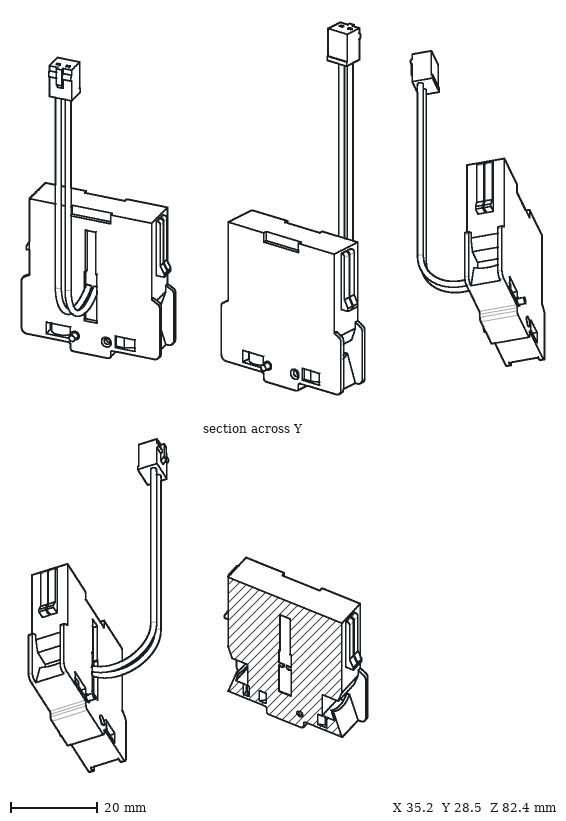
import cadquery as cq
import math

total_height = 82.4

body_half_width = 15.6
body_depth = 9.1
body_top = 37.4
half_depth = body_depth / 2

flange_width = 35.2
flange_half_width = flange_width / 2
flange_bottom = 2.15
flange_thickness = 1.0
shoulder_top = 17.55
shoulder_angle = 30
shoulder_fillet = 1.1
flange_fillet = 1.4

tab_half_width = 5.1
tab_fillet = 0.75
tab_root_fillet = 0.5
notch_height = 2.3

recess_lip_top = 16.0
recess_lip_bottom = 12.8
recess_lip_setback = 1.1
recess_depth = 5.35
ramp_top = 9.7
ramp_setback = 2.55
ramp_thickness = 0.75
trench_bottom = 6.5
scoop_radius = 7.3
scoop_bottom = 8.15

clip_reach = 1.0
clip_width = 3.7
clip_top = 36.7
clip_bottom = 22.6
hook_ramp_top = 25.3
hook_ramp_bottom = 23.3
clip_fillet = 0.7
clip_slit = 0.25

pin_offset = 4.0
pin_height = 4.1
pin_diameter = 1.5
pin_length = 1.6
relief_diameter = 2.1
relief_depth = 0.25
socket_mouth_diameter = 2.5
socket_depth = 1.6
countersink_depth = 0.5

window_bottom = 3.2
window_top = 6.2
window_outer = 11.3
bump_window_inner = 5.2
bump_window_depth = 2.2
bump_diameter = 6.3
bump_centre = 8.4
bump_left = 10.6
bump_right = 5.7
bump_setback = 0.7
ramp_window_inner = 6.3
ramp_window_start = 8.2
ramp_window_end = 10.55
ramp_window_shallow = 0.7
ramp_window_deep = 1.65

slot_bottom = 8.6
slot_step = 21.2
slot_top = 32.1
slot_lower_width = 3.3
slot_upper_width = 2.6
slot_depth = 1.1

wire_diameter = 1.4
wire_y = -20.0
wire_spacing = 2.5
wire_entry_spacing = 1.9
bend_radius = 9.9
bend_centre_height = 24.5
wire_embed = 1.15

plug_width = 5.7
plug_half_width = plug_width / 2
plug_back = -16.9
plug_front = -21.6
plug_height = 8.0
plug_bottom = total_height - plug_height
foot_back = -16.65
foot_height = 1.1
latch_width = 1.3
latch_front = -22.4
latch_nose_height = 4.1
latch_bottom = total_height - 5.2
ridge_top = total_height - 1.3
ridge_bottom = total_height - 2.9
ridge_reach = 0.4
contact_width = 0.8
contact_length = 0.6
contact_depth = 1.65


def box(x0, x1, y0, y1, z0, z1):
    """Axis-aligned block between opposite corners."""
    return cq.Workplane("XY").box(x1 - x0, y1 - y0, z1 - z0, centered=False).translate((x0, y0, z0))


def extrude_along_y(outline, y0, y1):
    """Prism of an XZ outline between two Y positions."""
    return cq.Workplane("XZ", origin=(0, y1, 0)).polyline(outline).close().extrude(y1 - y0)


def half_turn(shape):
    """Copy turned 180 degrees about Z, onto the opposite face."""
    return shape.rotate((0, 0, 0), (0, 0, 1), 180)


def fillet_at(shape, x, z, radius):
    """Round the Y-direction edges at mirrored positions (+x, z) and (-x, z)."""
    reach = 0.04
    for side in (-1, 1):
        corner = cq.selectors.BoxSelector(
            (side * x - reach, -body_depth, z - reach),
            (side * x + reach, body_depth, z + reach),
        )
        shape = shape.edges("|Y").edges(corner).fillet(radius)
    return shape


def housing():
    """Shouldered block with a bottom tab and two top notches."""
    shoulder_drop = (flange_half_width - body_half_width) * math.tan(math.radians(shoulder_angle))
    shoulder_low = shoulder_top - shoulder_drop
    right_side = [
        (tab_half_width, 0),
        (tab_half_width, flange_bottom),
        (flange_half_width, flange_bottom),
        (flange_half_width, shoulder_low),
        (body_half_width, shoulder_top),
        (body_half_width, body_top),
    ]
    left_side = [(-x, z) for x, z in reversed(right_side)]
    body = extrude_along_y(right_side + left_side, -half_depth, half_depth)
    body = fillet_at(body, flange_half_width, shoulder_low, shoulder_fillet)
    body = fillet_at(body, flange_half_width, flange_bottom, flange_fillet)
    body = fillet_at(body, tab_half_width, flange_bottom, tab_root_fillet)
    body = fillet_at(body, tab_half_width, 0, tab_fillet)

    notch = box(
        -tab_half_width, tab_half_width,
        -half_depth, flange_thickness - half_depth,
        body_top - notch_height, body_top,
    )
    return body.cut(notch).cut(half_turn(notch))


def side_recess():
    """Space between the flanges on the -X side, with the undercut finger recess."""
    inner_y = half_depth - flange_thickness
    gap = box(-flange_half_width, -body_half_width, -inner_y, inner_y, flange_bottom, shoulder_top)
    back = -body_half_width + recess_depth
    ramp_slope = ramp_setback / (ramp_top - flange_bottom)
    trench_front = -body_half_width + ramp_slope * (trench_bottom - flange_bottom) + ramp_thickness
    cavity = extrude_along_y(
        [
            (-body_half_width, recess_lip_top),
            (-body_half_width + recess_lip_setback, recess_lip_bottom),
            (back, recess_lip_bottom),
            (back, trench_bottom),
            (trench_front, trench_bottom),
            (-body_half_width + ramp_setback + ramp_thickness, ramp_top),
            (-body_half_width + ramp_setback, ramp_top),
            (-body_half_width, flange_bottom),
        ],
        -inner_y, inner_y,
    )
    scoop = (
        cq.Workplane("YZ", origin=(-body_half_width, 0, 0))
        .center(0, scoop_bottom + scoop_radius)
        .circle(scoop_radius)
        .extrude(recess_depth)
    )
    scoop = scoop.intersect(
        box(-body_half_width, back, -inner_y, inner_y, flange_bottom, recess_lip_bottom)
    )
    return gap.union(cavity).union(scoop)


def snap_clip():
    """Split hook on the -X side."""
    stem = -body_half_width - clip_reach
    clip = extrude_along_y(
        [
            (-body_half_width, clip_bottom),
            (-flange_half_width, clip_bottom),
            (-flange_half_width, hook_ramp_bottom),
            (stem, hook_ramp_top),
            (stem, clip_top),
            (-body_half_width, clip_top),
        ],
        -clip_width / 2, clip_width / 2,
    )
    clip = clip.faces(">Z").edges("<X").fillet(clip_fillet)
    slit = box(
        -flange_half_width, -body_half_width,
        -clip_slit / 2, clip_slit / 2,
        clip_bottom, clip_top,
    )
    return clip.cut(slit)


def locating_pin():
    """Pin on the front face, left of centre."""
    return (
        cq.Workplane("XZ", origin=(-pin_offset, -half_depth, pin_height))
        .circle(pin_diameter / 2)
        .extrude(pin_length)
    )


def pin_relief():
    """Shallow ring-shaped groove around the foot of the front pin."""
    return (
        cq.Workplane("XZ", origin=(-pin_offset, -half_depth, pin_height))
        .circle(relief_diameter / 2)
        .circle(pin_diameter / 2)
        .extrude(-relief_depth)
    )


def socket():
    """Countersunk blind socket in the front face, right of centre."""
    mouth = cq.Workplane("XZ", origin=(pin_offset, -half_depth, pin_height))
    countersink = (
        mouth.circle(socket_mouth_diameter / 2)
        .workplane(offset=-countersink_depth)
        .circle(pin_diameter / 2)
        .loft()
    )
    return mouth.circle(pin_diameter / 2).extrude(-socket_depth).union(countersink)


def bump_window():
    """Front-face pocket, left of centre, that leaves a rounded bump on its floor."""
    floor = -half_depth + bump_window_depth
    pocket = box(-window_outer, -bump_window_inner, -half_depth, floor, window_bottom, window_top)
    bump_radius = bump_diameter / 2
    bump = (
        cq.Workplane("XY", origin=(-bump_centre, -half_depth + bump_setback + bump_radius, window_bottom))
        .circle(bump_radius)
        .extrude(window_top - window_bottom)
    )
    bump_limits = box(-bump_left, -bump_right, -half_depth, floor, window_bottom, window_top)
    return pocket.cut(bump.intersect(bump_limits))


def ramp_window():
    """Front-face pocket, right of centre, with a floor that ramps deeper outwards."""
    shallow = -half_depth + ramp_window_shallow
    deep = -half_depth + ramp_window_deep
    return (
        cq.Workplane("XY", origin=(0, 0, window_bottom))
        .moveTo(ramp_window_inner, -half_depth)
        .lineTo(window_outer, -half_depth)
        .lineTo(window_outer, deep)
        .lineTo(ramp_window_end, deep)
        .lineTo(ramp_window_start, shallow)
        .lineTo(ramp_window_inner, shallow)
        .close()
        .extrude(window_top - window_bottom)
    )


def cable_slot():
    """Stepped-width slot where the wires enter the front face."""
    lower = box(
        -slot_lower_width / 2, slot_lower_width / 2,
        -half_depth, slot_depth - half_depth,
        slot_bottom, slot_step,
    )
    upper = box(
        -slot_upper_width / 2, slot_upper_width / 2,
        -half_depth, slot_depth - half_depth,
        slot_step, slot_top,
    )
    return lower.union(upper)


def wire(side):
    """Straight wire with a U-bend into the housing; the bend plane turns slightly towards X = 0."""
    entry_y = -half_depth + wire_embed
    bend_centre_y = wire_y + bend_radius
    end_angle = math.asin((entry_y - bend_centre_y) / bend_radius)
    mid_angle = (end_angle - math.pi / 2) / 2

    def bend_point(angle):
        """Point on the bend, with the angle taken from straight down towards +Y."""
        return (
            bend_centre_y + bend_radius * math.sin(angle),
            bend_centre_height - bend_radius * math.cos(angle),
        )

    path = (
        cq.Workplane("YZ")
        .moveTo(wire_y, plug_bottom)
        .lineTo(wire_y, bend_centre_height)
        .threePointArc(bend_point(mid_angle), bend_point(end_angle))
    )
    strand = (
        cq.Workplane("XY", origin=(0, wire_y, plug_bottom))
        .circle(wire_diameter / 2)
        .sweep(path)
    )
    inward = (wire_spacing - wire_entry_spacing) / 2
    turn = math.degrees(math.atan2(inward, entry_y - wire_y))
    strand = strand.rotate((0, wire_y, 0), (0, wire_y, 1), side * turn)
    return strand.translate((side * wire_spacing / 2, 0, 0))


def connector():
    """Plug at the wire ends, with its foot, front ridge, latch and two contact openings."""
    plug = box(-plug_half_width, plug_half_width, plug_front, plug_back, plug_bottom, total_height)
    foot = box(
        -plug_half_width, plug_half_width,
        plug_back, foot_back,
        plug_bottom, plug_bottom + foot_height,
    )
    ridge = (
        cq.Workplane("YZ", origin=(-plug_half_width, 0, 0))
        .moveTo(plug_front, ridge_bottom)
        .threePointArc(
            (plug_front - ridge_reach, (ridge_top + ridge_bottom) / 2),
            (plug_front, ridge_top),
        )
        .close()
        .extrude(plug_width)
    )
    latch = (
        cq.Workplane("YZ", origin=(-latch_width / 2, 0, 0))
        .moveTo(plug_front, total_height)
        .lineTo(latch_front, total_height)
        .lineTo(latch_front, total_height - latch_nose_height)
        .lineTo(plug_front, latch_bottom)
        .close()
        .extrude(latch_width)
    )
    plug = plug.union(foot).union(ridge).union(latch)
    contacts = (
        cq.Workplane("XY", origin=(0, wire_y, total_height))
        .pushPoints([(-wire_spacing / 2, 0), (wire_spacing / 2, 0)])
        .rect(contact_width, contact_length)
        .extrude(-contact_depth)
    )
    return plug.cut(contacts)


result = housing().cut(cable_slot())
for cutter in (side_recess(), pin_relief(), socket(), bump_window(), ramp_window()):
    result = result.cut(cutter).cut(half_turn(cutter))
for addition in (snap_clip(), locating_pin()):
    result = result.union(addition).union(half_turn(addition))
for wire_side in (-1, 1):
    result = result.union(wire(wire_side))
result = result.union(connector())